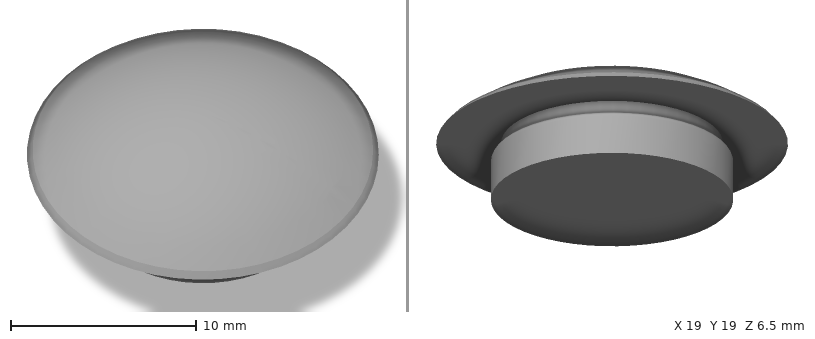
import cadquery as cq

flange_diameter = 19.0
total_height = 6.5

plug_diameter = 13.1
plug_height = 2.45
neck_diameter = 12.0
neck_height = 0.82
edge_round = 0.27

rim_height = 0.35
rim_inset = 0.3

flange_radius = flange_diameter / 2
dome_radius = flange_radius - rim_inset
flange_base = plug_height + neck_height
dome_base = flange_base + rim_height
dome_rise = total_height - dome_base

sphere_radius = (dome_radius**2 + dome_rise**2) / (2 * dome_rise)
sphere_center = total_height - sphere_radius
mid_radius = dome_radius / 2
mid_height = sphere_center + (sphere_radius**2 - mid_radius**2) ** 0.5


def make_plug():
    """Solid plug with a rounded upper edge, topped by the narrower neck."""
    shoulder = plug_height - edge_round
    plug_radius = plug_diameter / 2
    neck_radius = neck_diameter / 2
    profile = (
        cq.Workplane("XZ")
        .lineTo(plug_radius, 0)
        .lineTo(plug_radius, shoulder)
        .radiusArc((plug_radius - edge_round, plug_height), -edge_round)
        .lineTo(neck_radius, plug_height)
        .lineTo(neck_radius, flange_base)
        .lineTo(0, flange_base)
        .close()
    )
    return profile.revolve(360, (0, 0, 0), (0, 1, 0))


def make_head():
    """Spherical dome on a bevelled rim, revolved about Z."""
    profile = (
        cq.Workplane("XZ")
        .moveTo(0, flange_base)
        .lineTo(flange_radius, flange_base)
        .lineTo(dome_radius, dome_base)
        .threePointArc((mid_radius, mid_height), (0, total_height))
        .close()
    )
    return profile.revolve(360, (0, 0, 0), (0, 1, 0))


result = make_plug().union(make_head())